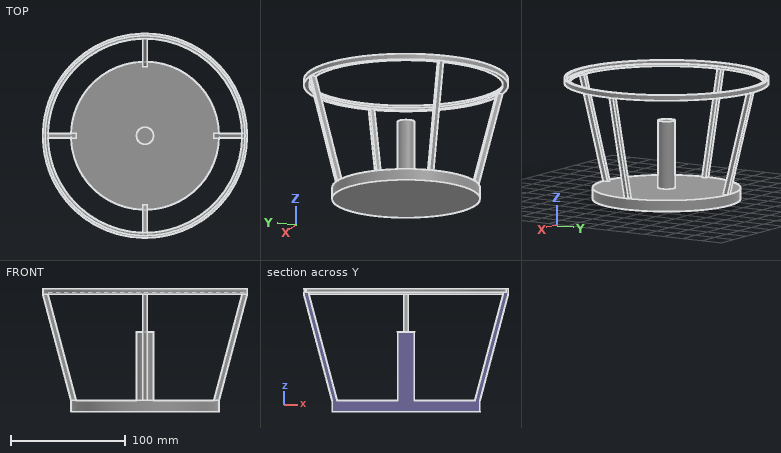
import cadquery as cq

BASE_DIAMETER = 130.0
BASE_THICKNESS = 10.0
POST_DIAMETER = 15.0
POST_HEIGHT = 60.0

TOTAL_HEIGHT = 108.0
RING_OUTER_DIAMETER = 179.4
RING_SEAT_DIAMETER = 175.4
RING_BORE_DIAMETER = 170.0
RING_HEIGHT = 5.0
LEDGE_THICKNESS = 2.0

LEG_COUNT = 4
LEG_WIDTH = 4.0
LEG_DEPTH = (RING_OUTER_DIAMETER - RING_BORE_DIAMETER) / 2

RING_BOTTOM = TOTAL_HEIGHT - RING_HEIGHT


def make_base():
    """Flat disc standing on Z = 0, with the post rising from its centre."""
    disc = cq.Workplane("XY").circle(BASE_DIAMETER / 2).extrude(BASE_THICKNESS)
    return disc.faces(">Z").workplane().circle(POST_DIAMETER / 2).extrude(POST_HEIGHT)


def make_ring():
    """Ring whose wider upper bore leaves a ledge around the lower bore."""
    ring = (
        cq.Workplane("XY", origin=(0, 0, RING_BOTTOM))
        .circle(RING_OUTER_DIAMETER / 2)
        .circle(RING_BORE_DIAMETER / 2)
        .extrude(RING_HEIGHT)
    )
    seat = (
        cq.Workplane("XY", origin=(0, 0, RING_BOTTOM + LEDGE_THICKNESS))
        .circle(RING_SEAT_DIAMETER / 2)
        .extrude(RING_HEIGHT - LEDGE_THICKNESS)
    )
    return ring.cut(seat)


def make_leg():
    """Slanted bar on the +X side, from the rim of the base to the ring."""
    base_radius = BASE_DIAMETER / 2
    ring_radius = RING_OUTER_DIAMETER / 2
    return (
        cq.Workplane("XZ")
        .polyline([
            (base_radius - LEG_DEPTH, BASE_THICKNESS),
            (base_radius, BASE_THICKNESS),
            (ring_radius, RING_BOTTOM),
            (ring_radius - LEG_DEPTH, RING_BOTTOM),
        ])
        .close()
        .extrude(LEG_WIDTH / 2, both=True)
    )


result = make_base().union(make_ring())
for index in range(LEG_COUNT):
    angle = index * 360 / LEG_COUNT
    result = result.union(make_leg().rotate((0, 0, 0), (0, 0, 1), angle))